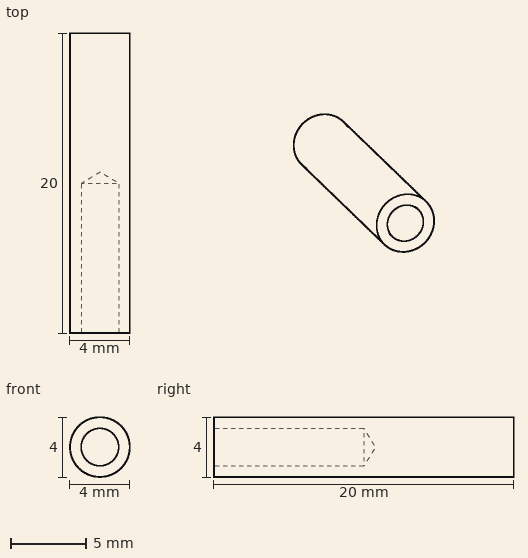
import cadquery as cq
import math

length = 20.0
outer_diameter = 4.0
hole_diameter = 2.5
hole_depth = 10.0
drill_point_angle = 118.0

front_y = -length / 2
hole_radius = hole_diameter / 2
tip_depth = hole_radius / math.tan(math.radians(drill_point_angle / 2))


def pin_body():
    return cq.Workplane("XZ", origin=(0, front_y, 0)).circle(outer_diameter / 2).extrude(-length)


def drilled_hole():
    """Cylindrical hole ending in a cone, revolved about the Y axis."""
    shoulder_y = front_y + hole_depth
    half_profile = (
        cq.Workplane("XY")
        .moveTo(0, front_y)
        .lineTo(hole_radius, front_y)
        .lineTo(hole_radius, shoulder_y)
        .lineTo(0, shoulder_y + tip_depth)
        .close()
    )
    return half_profile.revolve(360, (0, 0, 0), (0, 1, 0))


result = pin_body().cut(drilled_hole())